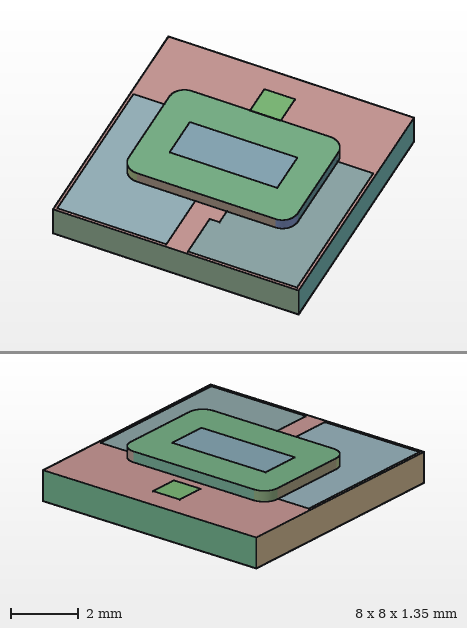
import cadquery as cq

BOARD_SIDE = 8.0
BOARD_THICKNESS = 1.0

INLAY_DEPTH = 0.04
PAD_OUTER_X = 3.9
PAD_BOTTOM_Y = -3.9
PAD_TOP_Y = 1.38
PAD_INNER_X = 0.35
NOTCH_INNER_X = 0.67
NOTCH_BOTTOM_Y = -2.4
MARK_SIDE = 1.0
MARK_CENTER_Y = 2.7

FRAME_LENGTH = 5.5
FRAME_WIDTH = 3.8
FRAME_HEIGHT = 0.35
FRAME_CORNER_RADIUS = 0.5
CHIP_LENGTH = 3.5
CHIP_WIDTH = 1.4

INLAY_FLOOR_Z = BOARD_THICKNESS - INLAY_DEPTH


def make_left_pad():
    """Plain rectangular contact pad."""
    return (
        cq.Workplane("XY", origin=(0, 0, INLAY_FLOOR_Z))
        .moveTo(-PAD_OUTER_X, PAD_BOTTOM_Y)
        .lineTo(-PAD_INNER_X, PAD_BOTTOM_Y)
        .lineTo(-PAD_INNER_X, PAD_TOP_Y)
        .lineTo(-PAD_OUTER_X, PAD_TOP_Y)
        .close()
        .extrude(INLAY_DEPTH)
    )


def make_right_pad():
    """Contact pad whose inner edge steps back above the notch corner."""
    return (
        cq.Workplane("XY", origin=(0, 0, INLAY_FLOOR_Z))
        .moveTo(PAD_OUTER_X, PAD_BOTTOM_Y)
        .lineTo(PAD_OUTER_X, PAD_TOP_Y)
        .lineTo(NOTCH_INNER_X, PAD_TOP_Y)
        .lineTo(NOTCH_INNER_X, NOTCH_BOTTOM_Y)
        .lineTo(PAD_INNER_X, NOTCH_BOTTOM_Y)
        .lineTo(PAD_INNER_X, PAD_BOTTOM_Y)
        .close()
        .extrude(INLAY_DEPTH)
    )


def make_mark():
    """Square alignment mark."""
    return (
        cq.Workplane("XY", origin=(0, MARK_CENTER_Y, INLAY_FLOOR_Z))
        .rect(MARK_SIDE, MARK_SIDE)
        .extrude(INLAY_DEPTH)
    )


def make_substrate(inlays):
    """Square plate with a matching recess for each inlay."""
    plate = cq.Workplane("XY").rect(BOARD_SIDE, BOARD_SIDE).extrude(BOARD_THICKNESS)
    for inlay in inlays:
        plate = plate.cut(inlay)
    return plate


def make_chip():
    """Rectangular chip, level with the top of the frame."""
    return (
        cq.Workplane("XY", origin=(0, 0, BOARD_THICKNESS))
        .rect(CHIP_LENGTH, CHIP_WIDTH)
        .extrude(FRAME_HEIGHT)
    )


def make_frame(chip):
    """Rounded rectangular frame with a window that fits the chip."""
    return (
        cq.Workplane("XY", origin=(0, 0, BOARD_THICKNESS))
        .rect(FRAME_LENGTH, FRAME_WIDTH)
        .extrude(FRAME_HEIGHT)
        .edges("|Z")
        .fillet(FRAME_CORNER_RADIUS)
        .cut(chip)
    )


left_pad = make_left_pad()
right_pad = make_right_pad()
mark = make_mark()
substrate = make_substrate([left_pad, right_pad, mark])
chip = make_chip()
frame = make_frame(chip)

result = cq.Compound.makeCompound([
    substrate.val(),
    left_pad.val(),
    right_pad.val(),
    mark.val(),
    frame.val(),
    chip.val(),
])